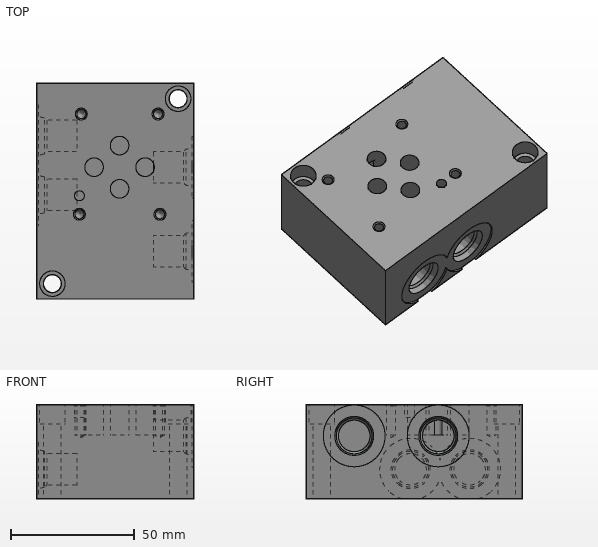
import cadquery as cq
import math

width = 63.5
length = 87.4
height = 38.1

left_port_ys = (22.4, -1.5)
left_port_z = 12.0
right_port_ys = (9.7, -24.3)
right_port_z = 25.4
spotface_diameter = 25.0
spotface_depth = 0.8
mouth_diameter = 15.7
mouth_end_diameter = 14.5
mouth_length = 2.45
bore_diameter = 12.8
bore_depth = 16.25

mount_x = 25.4
mount_y = 37.4
mount_diameter = 7.2
counterbore_diameter = 10.3
counterbore_depth = 7.9

pattern_x = 1.75
pattern_y = 9.7
flow_offset_x = 10.3
flow_offset_y = 8.7
flow_diameter = 7.5
flow_depth = 12.2

pin_center = (-14.5, -1.8)
pin_diameter = 4.0
pin_depth = 5.2

screw_centers = ((-13.7, 31.2), (17.3, 31.2), (-14.5, -9.35), (18.1, -9.35))
screw_diameter = 3.7
screw_rim_diameter = 4.8
screw_depth = 12.2
drill_tip_angle = 118


def revolved_tool(profile):
    """Solid about the Z axis from (radius, height) points; both ends lie on the axis."""
    return cq.Workplane("XZ").polyline(profile).close().revolve(360, (0, 0), (0, 1))


def side_port_tool():
    """Stepped cutter that starts at X = 0 and runs inward along +X."""
    spotface_radius = spotface_diameter / 2
    mouth_radius = mouth_diameter / 2
    mouth_end_radius = mouth_end_diameter / 2
    bore_radius = bore_diameter / 2
    mouth_end = spotface_depth + mouth_length
    shoulder_end = mouth_end + mouth_end_radius - bore_radius
    tool = revolved_tool([
        (0, 0),
        (spotface_radius, 0),
        (spotface_radius, spotface_depth),
        (mouth_radius, spotface_depth),
        (mouth_end_radius, mouth_end),
        (bore_radius, shoulder_end),
        (bore_radius, bore_depth),
        (0, bore_depth),
    ])
    return tool.rotate((0, 0, 0), (0, 1, 0), 90)


def screw_hole_tool():
    """Countersunk cutter that starts at Z = 0 and runs down to a drill tip."""
    radius = screw_diameter / 2
    rim_radius = screw_rim_diameter / 2
    tip_length = radius / math.tan(math.radians(drill_tip_angle / 2))
    return revolved_tool([
        (0, 0),
        (rim_radius, 0),
        (radius, radius - rim_radius),
        (radius, -screw_depth),
        (0, -screw_depth - tip_length),
    ])


def top_face(body):
    """Workplane on the top face with its origin on the block's centre line."""
    return body.faces(">Z").workplane(origin=(0, 0, height))


block = cq.Workplane("XY").box(width, length, height, centered=(True, True, False))

mount_centers = [(mount_x, mount_y), (-mount_x, -mount_y)]
block = top_face(block).pushPoints(mount_centers).cboreHole(
    mount_diameter, counterbore_diameter, counterbore_depth
)

flow_centers = [
    (pattern_x - flow_offset_x, pattern_y),
    (pattern_x + flow_offset_x, pattern_y),
    (pattern_x, pattern_y - flow_offset_y),
    (pattern_x, pattern_y + flow_offset_y),
]
block = top_face(block).pushPoints(flow_centers).circle(flow_diameter / 2).cutBlind(-flow_depth)

block = top_face(block).pushPoints([pin_center]).circle(pin_diameter / 2).cutBlind(-pin_depth)

for x, y in screw_centers:
    block = block.cut(screw_hole_tool().translate((x, y, height)))

left_port = side_port_tool()
for y in left_port_ys:
    block = block.cut(left_port.translate((-width / 2, y, left_port_z)))

right_port = left_port.rotate((0, 0, 0), (0, 0, 1), 180)
for y in right_port_ys:
    block = block.cut(right_port.translate((width / 2, y, right_port_z)))

result = block